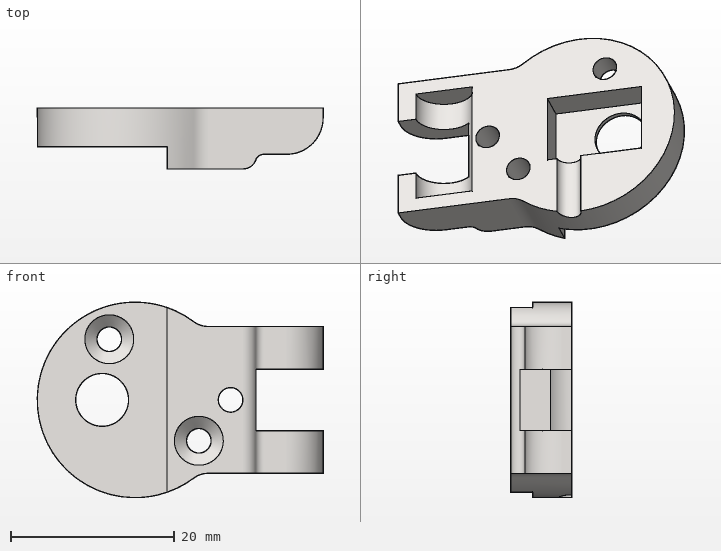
import cadquery as cq
import math

length = 35.1
depth = 7.5

disc_radius = 12.0
disc_thickness = 4.8
step_x = 15.95
body_height = 18.05
neck_radius = 3.0

arm_depth = 5.72
slot_height = 7.5
slot_x = 26.85
nose_radius = 4.5
shoulder_x = 25.28
shoulder_outer_radius = 1.65
shoulder_inner_radius = 1.0

small_diameter = 3.0
countersink_diameter = 6.0
countersink_angle = 90.0
window_diameter = 6.45
window_x = 7.97
pin_x = 23.75
disc_screw_x, disc_screw_z = 8.85, 7.45
body_screw_x, body_screw_z = 19.85, -5.02

pocket_left = 4.2
pocket_right = 16.15
pocket_height = 8.55
window_lip = 0.7
channel_x = 13.4
channel_diameter = 3.0
pivot_x = 29.28
pivot_radius = 3.58
pivot_depth_in_arm = 3.5


def cylinder_along_y(x, z, diameter):
    """Cylinder through the full depth of the part."""
    return cq.Workplane("XZ").center(x, z).circle(diameter / 2).extrude(depth)


def cylinder_along_z(x, radius, bottom, top):
    """Upright cylinder whose axis lies in the back face."""
    return cq.Workplane("XY", origin=(x, 0, bottom)).circle(radius).extrude(top - bottom)


def front_outline():
    """Disc blended into the straight body, extruded through the full depth."""
    half = body_height / 2
    neck_z = half + neck_radius
    neck_reach = disc_radius + neck_radius
    neck_run = math.sqrt(neck_reach**2 - neck_z**2)
    neck_x = disc_radius + neck_run
    blend_x = disc_radius + neck_run * disc_radius / neck_reach
    blend_z = neck_z * disc_radius / neck_reach
    middle_angle = (math.atan2(-neck_z, -neck_run) - math.pi / 2) / 2
    middle_x = neck_x + neck_radius * math.cos(middle_angle)
    middle_z = neck_z + neck_radius * math.sin(middle_angle)
    return (
        cq.Workplane("XZ")
        .moveTo(length, -half)
        .lineTo(length, half)
        .lineTo(neck_x, half)
        .threePointArc((middle_x, middle_z), (blend_x, blend_z))
        .threePointArc((0, 0), (blend_x, -blend_z))
        .threePointArc((middle_x, -middle_z), (neck_x, -half))
        .close()
        .extrude(depth)
    )


def side_profile():
    """Stepped disc, full-depth body and rounded arms, extruded over the height."""
    drop = depth - arm_depth
    radius_sum = shoulder_outer_radius + shoulder_inner_radius
    run = math.sqrt(radius_sum**2 - (radius_sum - drop)**2)
    outer_share = shoulder_outer_radius / radius_sum
    join = (shoulder_x + run * outer_share, -depth + drop * outer_share)
    return (
        cq.Workplane("XY", origin=(0, 0, -disc_radius))
        .lineTo(0, -disc_thickness)
        .lineTo(step_x, -disc_thickness)
        .lineTo(step_x, -depth)
        .lineTo(shoulder_x, -depth)
        .tangentArcPoint(join, relative=False)
        .tangentArcPoint((shoulder_x + run, -arm_depth), relative=False)
        .lineTo(length - nose_radius, -arm_depth)
        .tangentArcPoint((length, nose_radius - arm_depth), relative=False)
        .lineTo(length, 0)
        .close()
        .extrude(2 * disc_radius)
    )


def countersunk_hole(x, z, face_depth):
    """Screw hole with a cone that opens at the front face."""
    cone_depth = (countersink_diameter - small_diameter) / 2
    cone_depth /= math.tan(math.radians(countersink_angle / 2))
    cone = cq.Solid.makeCone(
        countersink_diameter / 2,
        small_diameter / 2,
        cone_depth,
        pnt=cq.Vector(x, -face_depth, z),
        dir=cq.Vector(0, 1, 0),
    )
    return cylinder_along_y(x, z, small_diameter).union(cone)


result = front_outline().intersect(side_profile())

slot = cq.Workplane("XY").box(
    length - slot_x, depth, slot_height, centered=(False, False, True)
).translate((slot_x, -depth, 0))
result = result.cut(slot)

result = result.cut(cylinder_along_y(window_x, 0, window_diameter))
result = result.cut(cylinder_along_y(pin_x, 0, small_diameter))
result = result.cut(countersunk_hole(disc_screw_x, disc_screw_z, disc_thickness))
result = result.cut(countersunk_hole(body_screw_x, body_screw_z, depth))

pocket_depth = disc_thickness - window_lip
pocket = cq.Workplane("XY").box(
    pocket_right - pocket_left, pocket_depth, pocket_height, centered=(False, False, True)
).translate((pocket_left, -pocket_depth, 0))
result = result.cut(pocket)

result = result.cut(cylinder_along_z(channel_x, channel_diameter / 2, -disc_radius, 0))

pivot_half = slot_height / 2 + pivot_depth_in_arm
result = result.cut(cylinder_along_z(pivot_x, pivot_radius, -pivot_half, pivot_half))